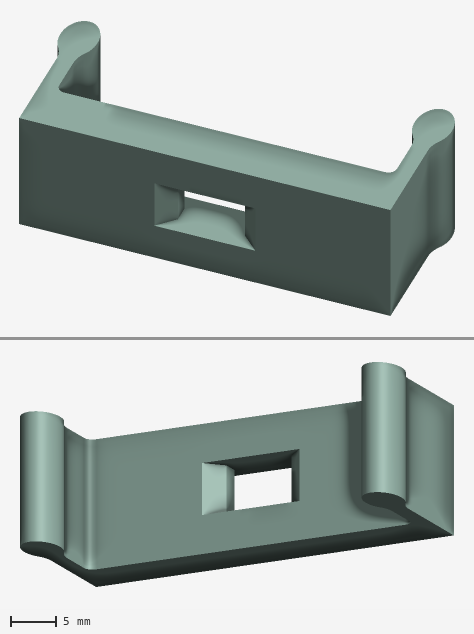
import cadquery as cq

overall_width = 46.4
overall_depth = 18.6
height = 15.0

base_width = 44.0
base_thickness = 6.0
arm_thickness = 2.0
corner_radius = 1.0

bulb_overhang = (overall_width - base_width) / 2
bulb_radius_x = arm_thickness / 2 + bulb_overhang
bulb_radius_y = 3.2
bulb_center_x = (base_width - arm_thickness) / 2
bulb_center_y = overall_depth - bulb_radius_y
neck_radius = 3.5

window_width = 11.95
window_height = 6.0
window_flare = 2.0


def make_base():
    """Base wall with its front face on Y = 0."""
    return cq.Workplane("XY").box(base_width, base_thickness, height, centered=(True, False, False))


def make_arm(side):
    """Arm on one side (-1 or +1) with its bulb blended into the neck."""
    arm = (
        cq.Workplane("XY")
        .center(side * bulb_center_x, 0)
        .box(arm_thickness, bulb_center_y, height, centered=(True, False, False))
    )
    bulb = (
        cq.Workplane("XY")
        .center(side * bulb_center_x, bulb_center_y)
        .ellipse(bulb_radius_x, bulb_radius_y)
        .extrude(height)
    )
    neck_zone = cq.selectors.BoxSelector(
        (side * bulb_center_x - arm_thickness, base_thickness, height / 4),
        (side * bulb_center_x + arm_thickness, bulb_center_y, 3 * height / 4),
    )
    return arm.union(bulb).edges(neck_zone).fillet(neck_radius)


def round_inner_corners(body):
    """Round the two corners where the arms meet the base wall."""
    inner_half_width = base_width / 2 - arm_thickness
    corners = cq.selectors.BoxSelector(
        (-inner_half_width - corner_radius, base_thickness - corner_radius, height / 4),
        (inner_half_width + corner_radius, base_thickness + corner_radius, 3 * height / 4),
    )
    return body.edges(corners).fillet(corner_radius)


def make_window():
    """Window cutter: 45 degree flares with a straight throat between them."""
    outer = window_width / 2
    throat = outer - window_flare
    rear_flare_start = base_thickness - window_flare
    return (
        cq.Workplane("XY")
        .workplane(offset=(height - window_height) / 2)
        .polyline([
            (-outer, 0),
            (outer, 0),
            (throat, window_flare),
            (throat, rear_flare_start),
            (outer, base_thickness),
            (-outer, base_thickness),
            (-throat, rear_flare_start),
            (-throat, window_flare),
        ])
        .close()
        .extrude(window_height)
    )


body = make_base()
for side in (-1, 1):
    body = body.union(make_arm(side))

result = round_inner_corners(body).cut(make_window())